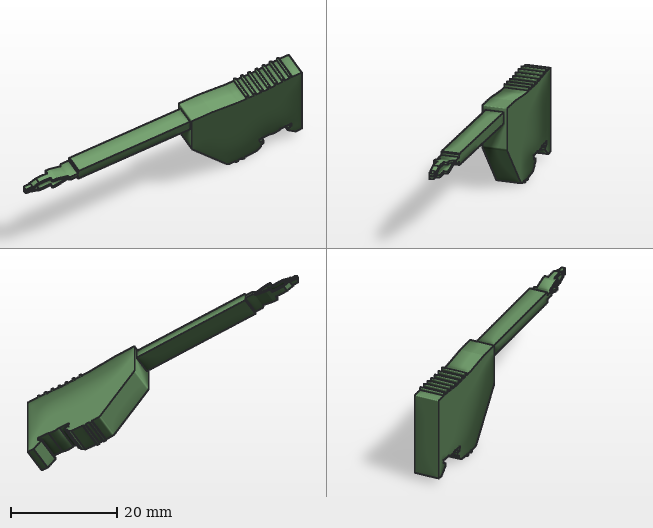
import cadquery as cq


housing_width = 5.0
housing_length = 23.9
tip_y = housing_length - 58.75
deck_z = 18.2
saddle_z = 17.7
belly_z = 0.35
belly_front_y = 7.8
slope_top_z = 9.75
corner_radius = 0.2
slope_radius = 0.8

deck_profile = [
    (housing_length, deck_z),
    (21.4, deck_z),
    (17.4, 17.8),
    (16.25, saddle_z),
    (10.05, saddle_z),
    (4.4, deck_z),
    (0.0, deck_z),
]

seat_back = (21.6, 4.2)
seat_front = (14.7, 3.7)
bulge_start_y = 19.25
bulge_end_y = 16.8
bulge_depth = 0.3

back_hook = [
    (housing_length, 1.4), (22.55, 1.25), (21.1, 2.45), (20.8, 2.7),
    (20.8, 3.2), (21.3, 3.35), (21.6, 3.65),
]
front_hook = [
    (14.7, 3.4), (14.85, 2.8), (15.55, 2.8), (15.55, 2.2),
    (15.1, 1.9), (15.05, 1.4), (14.15, 0.65), (11.55, belly_z),
]

rib_count = 7
rib_width = 0.45
rib_height = 0.6
rib_top_radius = 0.2
grip_top_z = 18.7
first_rib_y = 21.45
rib_pitch = 1.55
foot_width = 0.6
foot_centres = (11.2, 9.8)

overlap = 0.2

beam_width = 3.65
beam_height = 2.3
beam_end_y = -24.25
plate_thickness = 0.9
plate_end_y = -26.2
beam_z = 16.2
end_chamfer = 0.2
plate_chamfer = 0.25

leg_thickness = 0.5
root_width = 2.7
middle_width = 1.25
tip_width = 0.9
tip_radius = 0.25
root_end_y = -29.55
middle_end_y = -33.6
leg_profile = [
    (beam_end_y, plate_thickness / 2),
    (plate_end_y, plate_thickness / 2),
    (-28.6, 1.1),
    (-31.1, 1.25),
    (-32.05, 1.2),
    (-33.35, 0.6),
    (tip_y, 0.6),
]


def height_on(points, y):
    """Height at y on a polyline that runs from back to front."""
    for (y_back, z_back), (y_front, z_front) in zip(points, points[1:]):
        if y_front <= y <= y_back:
            return z_back + (z_front - z_back) * (y_back - y) / (y_back - y_front)
    raise ValueError("y lies outside the polyline")


def block(width, y_back, y_front, z_low, z_high):
    """Box centred on the mid plane."""
    return cq.Workplane("XY").box(
        width, y_back - y_front, z_high - z_low, centered=(True, False, False)
    ).translate((0, y_front, z_low))


def make_housing():
    seat = [seat_back, seat_front]
    bulge_middle_y = (bulge_start_y + bulge_end_y) / 2
    bulge_bottom_z = height_on(seat, bulge_middle_y) - bulge_depth
    outline = cq.Workplane("YZ").moveTo(housing_length, deck_z)
    for point in back_hook + [seat_back]:
        outline = outline.lineTo(*point)
    outline = outline.lineTo(bulge_start_y, height_on(seat, bulge_start_y))
    outline = outline.threePointArc(
        (bulge_middle_y, bulge_bottom_z), (bulge_end_y, height_on(seat, bulge_end_y))
    )
    for point in [seat_front] + front_hook:
        outline = outline.lineTo(*point)
    outline = outline.lineTo(belly_front_y, belly_z).lineTo(0, slope_top_z)
    for point in reversed(deck_profile[1:]):
        outline = outline.lineTo(*point)
    housing = outline.close().extrude(housing_width / 2, both=True)

    rounded_corners = [
        (housing_length, deck_z, corner_radius),
        (0, deck_z, corner_radius),
        (0, slope_top_z, slope_radius),
        (belly_front_y, belly_z, slope_radius),
    ]
    for y, z, radius in rounded_corners:
        housing = housing.edges(cq.NearestToPointSelector((0, y, z))).fillet(radius)
    return housing


def make_ribs():
    ribs = cq.Workplane("XY")
    for index in range(rib_count):
        y = first_rib_y - index * rib_pitch
        surface_z = height_on(deck_profile, y)
        top_z = min(surface_z + rib_height, grip_top_z)
        rib = block(
            housing_width, y + rib_width / 2, y - rib_width / 2, surface_z - overlap, top_z
        )
        ribs = ribs.add(rib.edges("|X and >Z").fillet(rib_top_radius))
    return ribs.combine()


def make_feet():
    feet = cq.Workplane("XY")
    for y in foot_centres:
        feet = feet.add(
            block(housing_width, y + foot_width / 2, y - foot_width / 2, 0, belly_z + overlap)
        )
    return feet.combine()


def make_beam():
    beam = block(
        beam_width, overlap, beam_end_y, beam_z - beam_height / 2, beam_z + beam_height / 2
    )
    beam = beam.faces("<Y").edges(">Z").chamfer(end_chamfer)
    plate = block(
        beam_width, beam_end_y + overlap, plate_end_y,
        beam_z - plate_thickness / 2, beam_z + plate_thickness / 2,
    )
    plate = plate.edges("|Z and <Y").chamfer(plate_chamfer)
    return beam.union(plate)


def make_legs():
    outer = [(y, beam_z + rise) for y, rise in leg_profile]
    inner = [(y, z - leg_thickness) for y, z in reversed(outer)]
    upper = cq.Workplane("YZ").polyline(outer + inner).close().extrude(root_width / 2, both=True)
    lower = upper.mirror("XY", (0, 0, beam_z))
    legs = upper.union(lower)

    z_low = beam_z - beam_height
    z_high = beam_z + beam_height
    plan = block(root_width, 0, root_end_y, z_low, z_high)
    plan = plan.union(block(middle_width, 0, middle_end_y, z_low, z_high))
    tip = block(tip_width, 0, tip_y, z_low, z_high).edges("|Z and <Y").fillet(tip_radius)
    plan = plan.union(tip)
    return legs.intersect(plan)


result = (
    make_housing()
    .union(make_ribs())
    .union(make_feet())
    .union(make_beam())
    .union(make_legs())
)